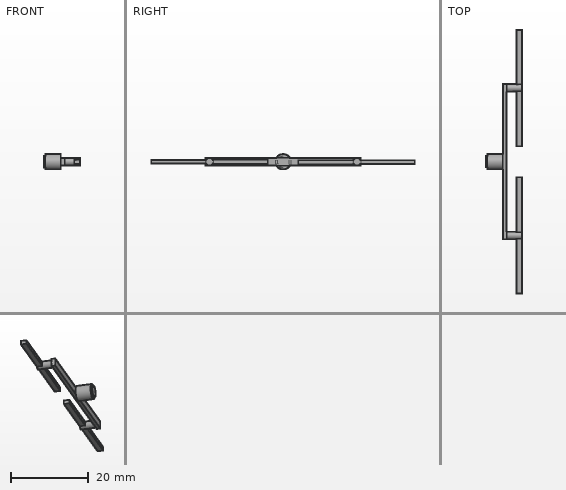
import cadquery as cq

beam_length = 40.0
beam_thickness = 1.0
beam_height = 2.0

knob_diameter = 4.0
knob_length = 4.4
knob_face_diameter = 3.0
knob_face_height = 0.4

pin_diameter = beam_height
pin_length = 4.0

arm_length = 30.0
arm_width = 1.5
arm_height = 1.0

plus_y_arm_shift_y = -0.05
plus_y_arm_shift_z = -0.1

beam_start_x = knob_length
pin_start_x = beam_start_x + beam_thickness
pin_end_x = pin_start_x + pin_length
pin_offset = (beam_length - pin_diameter) / 2


def make_knob():
    """Round knob with a thin, smaller disc raised on its outer face."""
    face_disc = cq.Workplane("YZ").circle(knob_face_diameter / 2).extrude(knob_face_height)
    body = (
        cq.Workplane("YZ", origin=(knob_face_height, 0, 0))
        .circle(knob_diameter / 2)
        .extrude(knob_length - knob_face_height)
    )
    return body.union(face_disc)


def make_beam():
    """Flat bar running along Y."""
    return cq.Workplane("XY").box(
        beam_thickness, beam_length, beam_height, centered=(False, True, True)
    ).translate((beam_start_x, 0, 0))


def make_pin_with_arm(center_y, arm_shift_y, arm_shift_z):
    """Pin at the given Y, with an arm whose centre is shifted from the pin axis."""
    pin = (
        cq.Workplane("YZ", origin=(pin_start_x, center_y, 0))
        .circle(pin_diameter / 2)
        .extrude(pin_length)
    )
    arm = cq.Workplane("XY").box(
        arm_width, arm_length, arm_height, centered=(False, True, True)
    ).translate((pin_end_x - arm_width, center_y + arm_shift_y, arm_shift_z))
    return pin.union(arm)


result = (
    make_knob()
    .union(make_beam())
    .union(make_pin_with_arm(pin_offset, plus_y_arm_shift_y, plus_y_arm_shift_z))
    .union(make_pin_with_arm(-pin_offset, 0, 0))
)